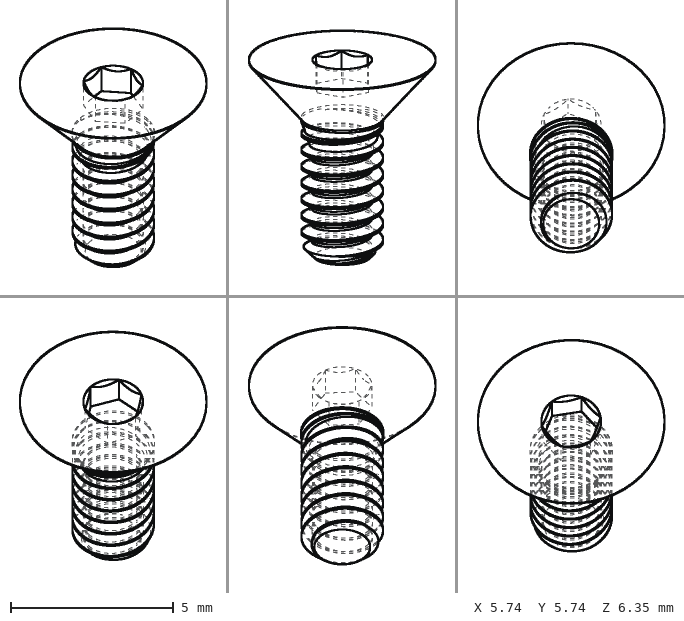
import cadquery as cq
import math

INCH = 25.4

length = INCH / 4
head_radius = 2.87
rim_height = 0.03
head_half_angle = math.radians(41)

pitch = INCH / 48
major_radius = 0.099 * INCH / 2
flank_half_angle = math.radians(30)
crest_width = pitch / 8
root_width = pitch / 6
ridge_base_width = pitch - root_width
thread_depth = (ridge_base_width - crest_width) / 2 / math.tan(flank_half_angle)
root_radius = major_radius - thread_depth
crest_depth_on_x_axis = 2.74
root_overlap = 0.03

neck_radius = 1.27
neck_land_height = 0.075
runout_length = 1.0

point_radius = 0.86

hex_across_flats = INCH / 16
hex_half_sector = 30
hex_corner_radius = hex_across_flats / 2 / math.cos(math.radians(hex_half_sector))
socket_depth = 0.91
lead_in_angle = 45
lead_in_depth = 0.3

tip_z = -length
head_base_z = -rim_height - (head_radius - neck_radius) / math.tan(head_half_angle)
neck_base_z = head_base_z - neck_land_height
runout_end_z = neck_base_z - runout_length


def make_body():
    """Head, neck, tapered thread runout and root cylinder as one turned profile."""
    return (
        cq.Workplane("XZ")
        .moveTo(0, 0)
        .lineTo(head_radius, 0)
        .lineTo(head_radius, -rim_height)
        .lineTo(neck_radius, head_base_z)
        .lineTo(neck_radius, neck_base_z)
        .lineTo(root_radius, runout_end_z)
        .lineTo(root_radius, tip_z + root_radius - point_radius)
        .lineTo(point_radius, tip_z)
        .lineTo(0, tip_z)
        .close()
        .revolve(360, (0, 0, 0), (0, 1, 0))
    )


def make_thread_envelope():
    """Major cylinder with the point chamfer, reaching up into the head."""
    return (
        cq.Workplane("XZ")
        .moveTo(0, -rim_height)
        .lineTo(major_radius, -rim_height)
        .lineTo(major_radius, tip_z + major_radius - point_radius)
        .lineTo(point_radius, tip_z)
        .lineTo(0, tip_z)
        .close()
        .revolve(360, (0, 0, 0), (0, 1, 0))
    )


def make_thread_ridge():
    """Right-hand helical ridge, built turn by turn, run past the tip and ending inside the head."""
    turns_below = math.ceil((length - crest_depth_on_x_axis) / pitch) + 1
    start_z = -crest_depth_on_x_axis - turns_below * pitch
    turns = math.ceil((head_base_z + ridge_base_width / 2 - start_z) / pitch)

    base_radius = root_radius - root_overlap
    half_base = ridge_base_width / 2 + root_overlap * math.tan(flank_half_angle)
    half_crest = crest_width / 2
    section = [
        (base_radius, start_z - half_base),
        (major_radius, start_z - half_crest),
        (major_radius, start_z + half_crest),
        (base_radius, start_z + half_base),
    ]

    helices = [cq.Wire.makeHelix(pitch, pitch, r, center=cq.Vector(0, 0, z)) for r, z in section]
    one_turn = []
    for index, helix in enumerate(helices):
        next_helix = helices[(index + 1) % len(helices)]
        one_turn.append(cq.Face.makeRuledSurface(helix, next_helix))

    corners = [cq.Vector(r, 0, z) for r, z in section]
    start_cap = cq.Face.makeFromWires(cq.Wire.makePolygon(corners, close=True))
    faces = [start_cap, start_cap.translate(cq.Vector(0, 0, turns * pitch))]
    for turn in range(turns):
        rise = cq.Vector(0, 0, turn * pitch)
        faces.extend(face.translate(rise) for face in one_turn)

    ridge = cq.Solid.makeSolid(cq.Shell.makeShell(faces))
    return cq.Workplane(ridge.fix())


def make_socket():
    """Hex recess with corners on the Y axis and a conical lead-in."""
    hexagon = (
        cq.Workplane("XY")
        .polygon(6, 2 * hex_corner_radius)
        .extrude(-socket_depth)
        .rotate((0, 0, 0), (0, 0, 1), hex_half_sector)
    )
    lead_in = cq.Workplane("XY").circle(hex_corner_radius).extrude(-lead_in_depth, taper=lead_in_angle)
    return hexagon.union(lead_in)


thread = make_thread_ridge().intersect(make_thread_envelope())
result = make_body().union(thread).cut(make_socket())